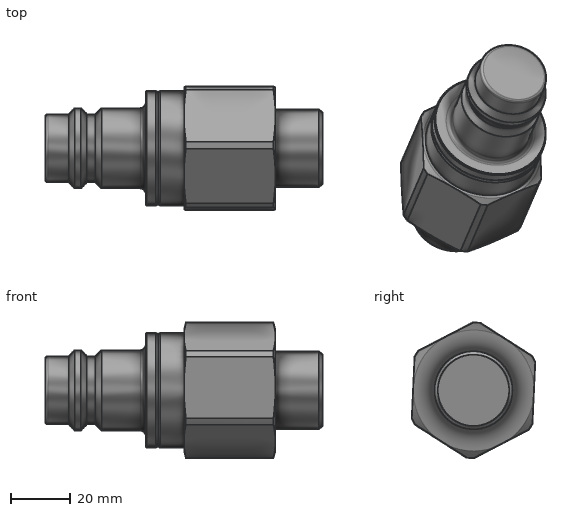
import cadquery as cq
import math

length = 94.0

nose_r = 23.1 / 2
nose_round = 0.9
barrel_r = 27.3 / 2
ramp = barrel_r - nose_r
rib_start = 8.0
rib_land = 2.0
barrel_start = 17.0
barrel_fillet = 1.9

flange_r = 38.9 / 2
body_r = 39.0 / 2
flange_start = 34.0
flange_chamfer = 0.4
groove_start = 37.5
groove_width = 1.4
groove_r = 37.9 / 2

hex_start = 47.0
hex_end = 77.9
hex_flats = 41.0
hex_corner_r = 46.0 / 2
hex_turn = -2.6
hex_chamfer_angle = 15.0

stub_r = 26.4 / 2
stub_chamfer_length = 1.4
stub_chamfer_depth = 1.1


def revolve_about_x(outline):
    return outline.close().revolve(360, (0, 0, 0), (1, 0, 0))


def make_turned_body():
    rib_top = rib_start + ramp
    rib_top_end = rib_top + rib_land
    groove_end = groove_start + groove_width
    groove_bottom = groove_start + groove_width / 2
    arc_mid = math.sqrt(0.5)
    nose_arc_drop = nose_round * (1 - arc_mid)
    fillet_center_x = flange_start - barrel_fillet
    fillet_center_r = barrel_r + barrel_fillet

    outline = (
        cq.Workplane("XY")
        .lineTo(0, nose_r - nose_round)
        .threePointArc((nose_arc_drop, nose_r - nose_arc_drop), (nose_round, nose_r))
        .lineTo(rib_start, nose_r)
        .lineTo(rib_top, barrel_r)
        .lineTo(rib_top_end, barrel_r)
        .lineTo(rib_top_end + ramp, nose_r)
        .lineTo(barrel_start, nose_r)
        .lineTo(barrel_start + ramp, barrel_r)
        .lineTo(fillet_center_x, barrel_r)
        .threePointArc(
            (fillet_center_x + barrel_fillet * arc_mid, fillet_center_r - barrel_fillet * arc_mid),
            (flange_start, fillet_center_r),
        )
        .lineTo(flange_start, flange_r - flange_chamfer)
        .lineTo(flange_start + flange_chamfer, flange_r)
        .lineTo(groove_start, flange_r)
        .lineTo(groove_bottom, groove_r)
        .lineTo(groove_end, body_r)
        .lineTo(hex_start, body_r)
        .lineTo(hex_start, stub_r)
        .lineTo(length - stub_chamfer_length, stub_r)
        .lineTo(length, stub_r - stub_chamfer_depth)
        .lineTo(length, 0)
    )
    return revolve_about_x(outline)


def make_hexagon():
    sharp_corner_diameter = hex_flats / math.cos(math.pi / 6)
    prism = (
        cq.Workplane("YZ", origin=(hex_start, 0, 0))
        .polygon(6, sharp_corner_diameter)
        .extrude(hex_end - hex_start)
        .rotate((0, 0, 0), (1, 0, 0), 30 + hex_turn)
    )
    face_r = hex_flats / 2
    chamfer_length = (hex_corner_r - face_r) * math.tan(math.radians(hex_chamfer_angle))
    bar = revolve_about_x(
        cq.Workplane("XY")
        .moveTo(hex_start, 0)
        .lineTo(hex_start, face_r)
        .lineTo(hex_start + chamfer_length, hex_corner_r)
        .lineTo(hex_end - chamfer_length, hex_corner_r)
        .lineTo(hex_end, face_r)
        .lineTo(hex_end, 0)
    )
    return prism.intersect(bar)


result = make_turned_body().union(make_hexagon())